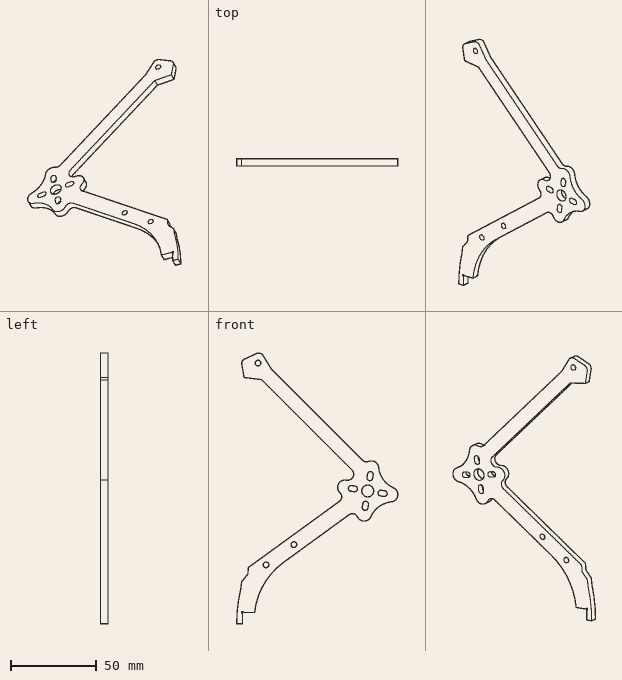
import math

import cadquery as cq

THICKNESS = 4.5

BORE_DIAMETER = 6.8
HUB_ROTATION = -9.0
LOBE_COUNT = 4
LOBE_DISTANCE = 13.4
LOBE_RADIUS = 4.34
WAIST_RADIUS = 14.5
SLOT_DISTANCE = 8.75
SLOT_TRAVEL = 2.0
SLOT_WIDTH = 3.2

UPPER_ARM_ANGLE = 135.0
UPPER_ARM_WIDTH = 8.45
UPPER_ARM_OFFSET = -6.36

LOWER_ARM_ANGLE = 216.0
LOWER_ARM_WIDTH = 9.7
LOWER_ARM_HOLE_DISTANCES = (53.1, 73.1)
SCREW_HOLE_DIAMETER = 3.2

ARM_FILLET = 3.2
UPPER_INNER_FILLET = 3.5

HEAD_ROUND = 3.0
HEAD_NECK_TOP_X = -56.0
HEAD_NECK_BOTTOM_X = -61.65
HEAD_TOP_CORNER = (-62.25, 81.13)
HEAD_SIDE_CORNER = (-73.7, 75.85)
HEAD_LOW_CORNER = (-72.0, 65.95)
HEAD_HOLE = (-63.81, 74.41)

FOOT_BEND_START = 64.0
FOOT_INNER_RADIUS = 41.3
FOOT_OUTER_RADIUS = 88.0
FOOT_OUTER_TOP_Z = -57.0
FOOT_LEFT_X = -76.31
FOOT_BOTTOM_Z = -77.25
TANG_WIDTH = 3.5
TANG_LENGTH = 6.5
RELIEF_RADIUS = 0.5

NOTCH_LOW_CORNER = (-73.4, -52.8)
NOTCH_INNER_CORNER = (-69.75, -48.4)
NOTCH_TOP_DISTANCE = 82.45
NOTCH_ROUND = 1.0
NOTCH_INNER_ROUND = 2.5


def polar(radius, angle):
    """Point at a distance from the hub axis, in a direction given in degrees."""
    return (radius * math.cos(math.radians(angle)), radius * math.sin(math.radians(angle)))


def arm_point(arm_angle, along, offset):
    """Point at a distance along an arm and an offset to the left of its direction."""
    ahead = polar(along, arm_angle)
    aside = polar(offset, arm_angle + 90)
    return (ahead[0] + aside[0], ahead[1] + aside[1])


def toward(start, target, distance):
    """Point at a distance from start on the way to target."""
    share = distance / math.dist(start, target)
    return (start[0] + share * (target[0] - start[0]), start[1] + share * (target[1] - start[1]))


def midpoint(first, second):
    return ((first[0] + second[0]) / 2, (first[1] + second[1]) / 2)


def arc_points(center, radius, start, end):
    """Start, middle and end of the minor arc about center."""
    return start, toward(center, midpoint(start, end), radius), end


def rounded_corner(before, corner, after, radius):
    """Arc that rounds the corner of two straight edges."""
    to_before = math.atan2(before[1] - corner[1], before[0] - corner[0])
    to_after = math.atan2(after[1] - corner[1], after[0] - corner[0])
    half_angle = abs(math.remainder(to_after - to_before, math.tau)) / 2
    start = toward(corner, before, radius / math.tan(half_angle))
    end = toward(corner, after, radius / math.tan(half_angle))
    center = toward(corner, midpoint(start, end), radius / math.sin(half_angle))
    return arc_points(center, radius, start, end)


def arc_left_x(center, radius, z):
    """X of the left side of a circle at a given Z."""
    return center[0] - math.sqrt(radius**2 - (z - center[1]) ** 2)


def lobe_angle(index):
    """Direction of a lobe, counted upward from the right-hand one."""
    return HUB_ROTATION + index * 360 / LOBE_COUNT


def lobe_center(index):
    return polar(LOBE_DISTANCE, lobe_angle(index))


def lobe_tip(index):
    return polar(LOBE_DISTANCE + LOBE_RADIUS, lobe_angle(index))


def arm_fillet(lobe, arm_angle, edge_offset, radius):
    """Arc from a lobe to the arm edge that faces it."""
    heading = math.radians(arm_angle)
    lobe_along = lobe[0] * math.cos(heading) + lobe[1] * math.sin(heading)
    lobe_offset = lobe[1] * math.cos(heading) - lobe[0] * math.sin(heading)
    center_offset = edge_offset + math.copysign(radius, lobe_offset - edge_offset)
    reach = math.sqrt((LOBE_RADIUS + radius) ** 2 - (center_offset - lobe_offset) ** 2)
    center = arm_point(arm_angle, lobe_along + reach, center_offset)
    on_edge = arm_point(arm_angle, lobe_along + reach, edge_offset)
    return arc_points(center, radius, toward(lobe, center, LOBE_RADIUS), on_edge)


def waist(first_index):
    """Concave arc between a lobe and the next one clockwise."""
    first = lobe_center(first_index)
    second = lobe_center(first_index - 1)
    half_step = math.radians(180 / LOBE_COUNT)
    depth = math.sqrt((LOBE_RADIUS + WAIST_RADIUS) ** 2 - (LOBE_DISTANCE * math.sin(half_step)) ** 2)
    center_angle = (lobe_angle(first_index) + lobe_angle(first_index - 1)) / 2
    center = polar(LOBE_DISTANCE * math.cos(half_step) + depth, center_angle)
    start = toward(first, center, LOBE_RADIUS)
    end = toward(second, center, LOBE_RADIUS)
    return arc_points(center, WAIST_RADIUS, start, end)


def upper_edge_at(offset, x):
    """Point of an upper arm edge at a given X."""
    base = arm_point(UPPER_ARM_ANGLE, 0, offset)
    return (x, base[1] + (x - base[0]) * math.tan(math.radians(UPPER_ARM_ANGLE)))


def plate_outline():
    upper_top = UPPER_ARM_OFFSET - UPPER_ARM_WIDTH / 2
    upper_bottom = UPPER_ARM_OFFSET + UPPER_ARM_WIDTH / 2
    lower_top = -LOWER_ARM_WIDTH / 2
    lower_bottom = LOWER_ARM_WIDTH / 2
    right, top, left, bottom = range(LOBE_COUNT)

    top_fillet = arm_fillet(lobe_center(top), UPPER_ARM_ANGLE, upper_top, ARM_FILLET)
    right_waist = waist(top)
    bottom_waist = waist(right)
    bottom_fillet = arm_fillet(lobe_center(bottom), LOWER_ARM_ANGLE, lower_bottom, ARM_FILLET)
    low_left_fillet = arm_fillet(lobe_center(left), LOWER_ARM_ANGLE, lower_top, ARM_FILLET)
    high_left_fillet = arm_fillet(lobe_center(left), UPPER_ARM_ANGLE, upper_bottom, UPPER_INNER_FILLET)

    bend_center = arm_point(LOWER_ARM_ANGLE, FOOT_BEND_START, lower_bottom + FOOT_INNER_RADIUS)
    bend_start = arm_point(LOWER_ARM_ANGLE, FOOT_BEND_START, lower_bottom)
    step_z = FOOT_BOTTOM_Z + TANG_LENGTH
    bend_end = (arc_left_x(bend_center, FOOT_INNER_RADIUS, step_z), step_z)
    inner_bend = arc_points(bend_center, FOOT_INNER_RADIUS, bend_start, bend_end)
    tang_right = FOOT_LEFT_X + TANG_WIDTH
    outer_start = (FOOT_LEFT_X, FOOT_BOTTOM_Z)
    outer_center = (FOOT_LEFT_X + FOOT_OUTER_RADIUS, outer_start[1])
    outer_end = (arc_left_x(outer_center, FOOT_OUTER_RADIUS, FOOT_OUTER_TOP_Z), FOOT_OUTER_TOP_Z)
    outer_bend = arc_points(outer_center, FOOT_OUTER_RADIUS, outer_start, outer_end)

    notch_top_corner = arm_point(LOWER_ARM_ANGLE, NOTCH_TOP_DISTANCE, lower_top)
    notch_low = rounded_corner(outer_end, NOTCH_LOW_CORNER, NOTCH_INNER_CORNER, NOTCH_ROUND)
    notch_inner = rounded_corner(NOTCH_LOW_CORNER, NOTCH_INNER_CORNER, notch_top_corner, NOTCH_INNER_ROUND)
    notch_top = rounded_corner(NOTCH_INNER_CORNER, notch_top_corner, low_left_fillet[2], NOTCH_ROUND)

    neck_bottom = upper_edge_at(upper_bottom, HEAD_NECK_BOTTOM_X)
    neck_top = upper_edge_at(upper_top, HEAD_NECK_TOP_X)
    head_side = rounded_corner(HEAD_LOW_CORNER, HEAD_SIDE_CORNER, HEAD_TOP_CORNER, HEAD_ROUND)
    head_top = rounded_corner(HEAD_SIDE_CORNER, HEAD_TOP_CORNER, neck_top, HEAD_ROUND)

    return (
        cq.Workplane("XZ")
        .moveTo(*neck_top)
        .lineTo(*top_fillet[2])
        .threePointArc(top_fillet[1], top_fillet[0])
        .threePointArc(lobe_tip(top), right_waist[0])
        .threePointArc(right_waist[1], right_waist[2])
        .threePointArc(lobe_tip(right), bottom_waist[0])
        .threePointArc(bottom_waist[1], bottom_waist[2])
        .threePointArc(lobe_tip(bottom), bottom_fillet[0])
        .threePointArc(bottom_fillet[1], bottom_fillet[2])
        .lineTo(*inner_bend[0])
        .threePointArc(inner_bend[1], inner_bend[2])
        .lineTo(tang_right, step_z)
        .lineTo(tang_right, FOOT_BOTTOM_Z)
        .lineTo(*outer_bend[0])
        .threePointArc(outer_bend[1], outer_bend[2])
        .lineTo(*notch_low[0])
        .threePointArc(notch_low[1], notch_low[2])
        .lineTo(*notch_inner[0])
        .threePointArc(notch_inner[1], notch_inner[2])
        .lineTo(*notch_top[0])
        .threePointArc(notch_top[1], notch_top[2])
        .lineTo(*low_left_fillet[2])
        .threePointArc(low_left_fillet[1], low_left_fillet[0])
        .threePointArc(lobe_tip(left), high_left_fillet[0])
        .threePointArc(high_left_fillet[1], high_left_fillet[2])
        .lineTo(*neck_bottom)
        .lineTo(*HEAD_LOW_CORNER)
        .lineTo(*head_side[0])
        .threePointArc(head_side[1], head_side[2])
        .lineTo(*head_top[0])
        .threePointArc(head_top[1], head_top[2])
        .close()
    )


def round_holes(points, diameter):
    return cq.Workplane("XZ").pushPoints(points).circle(diameter / 2).extrude(THICKNESS)


def motor_slot(index):
    """Slot that runs along the axis of a lobe."""
    angle = lobe_angle(index)
    return (
        cq.Workplane("XZ")
        .center(*polar(SLOT_DISTANCE, angle))
        .slot2D(SLOT_TRAVEL + SLOT_WIDTH, SLOT_WIDTH, angle)
        .extrude(THICKNESS)
    )


bore = round_holes([(0, 0)], BORE_DIAMETER)
lower_arm_holes = [polar(distance, LOWER_ARM_ANGLE) for distance in LOWER_ARM_HOLE_DISTANCES]
screw_holes = round_holes([HEAD_HOLE, *lower_arm_holes], SCREW_HOLE_DIAMETER)
tang_corner = (FOOT_LEFT_X + TANG_WIDTH, FOOT_BOTTOM_Z + TANG_LENGTH)
corner_relief = round_holes([tang_corner], 2 * RELIEF_RADIUS)

plate = plate_outline().extrude(THICKNESS)
result = plate.cut(bore).cut(screw_holes).cut(corner_relief)
for slot_index in range(LOBE_COUNT):
    result = result.cut(motor_slot(slot_index))